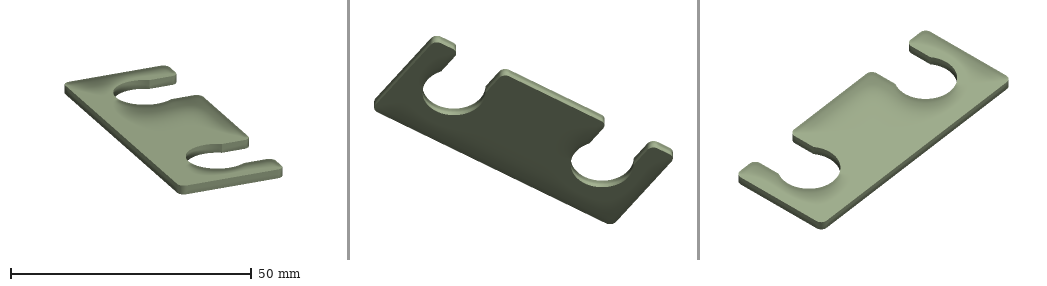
import cadquery as cq

length = 60.3
width = 23.85
thickness = 2.0
corner_radius = 1.5

notch_spacing = 37.15
hole_radius = 6.6
hole_depth = 10.2
slot_width = 11.1

back_edge = width / 2
hole_y = back_edge - hole_depth
notch_centers = (-notch_spacing / 2, notch_spacing / 2)


def slot(x):
    """Straight neck from the hole centre out to the +Y edge."""
    return (
        cq.Workplane("XY")
        .center(x, hole_y + hole_depth / 2)
        .rect(slot_width, hole_depth)
        .extrude(thickness)
    )


def hole(x):
    """Round end of the notch, wider than its neck."""
    return cq.Workplane("XY").center(x, hole_y).circle(hole_radius).extrude(thickness)


plate = cq.Workplane("XY").rect(length, width).extrude(thickness)
for center_x in notch_centers:
    plate = plate.cut(slot(center_x))

outer_edges = plate.edges("|Z").edges(">Y or <Y")
plate = outer_edges.fillet(corner_radius)

for center_x in notch_centers:
    plate = plate.cut(hole(center_x))

result = plate